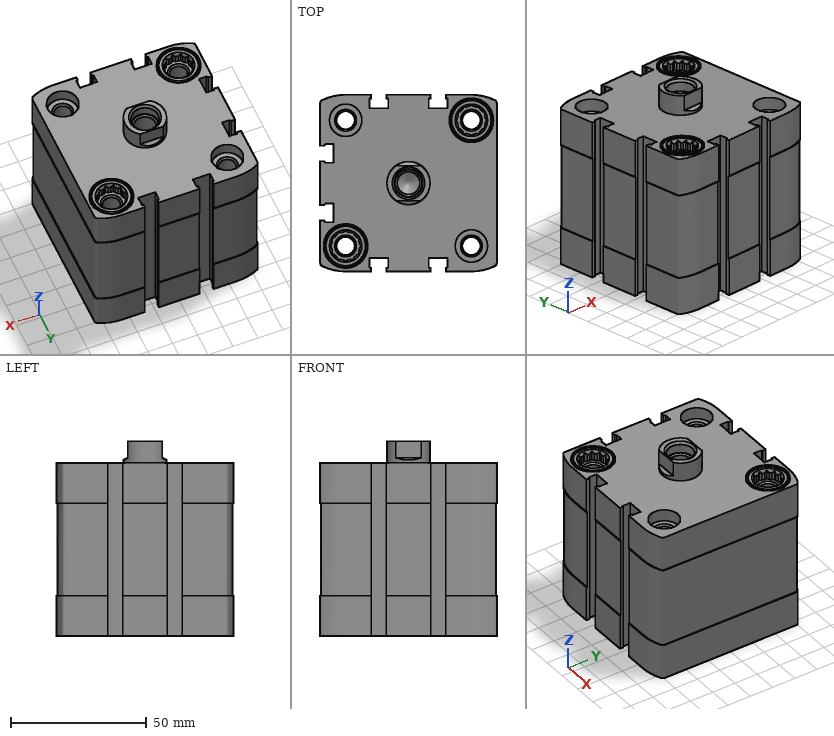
import cadquery as cq
import math

WIDTH = 65.5
TOTAL_HEIGHT = 72.25
ROD_EXPOSED = 8.1
BODY_HEIGHT = TOTAL_HEIGHT - ROD_EXPOSED
HALF_WIDTH = WIDTH / 2

CAP_HEIGHT = 15.0
TUBE_HEIGHT = BODY_HEIGHT - 2 * CAP_HEIGHT
TUBE_INSET = 0.3

ARC_START_X = 23.3
CORNER_ARC_RADIUS = 20.0
CORNER_FILLET_RADIUS = 1.5

SLOT_OFFSET = 11.0
SLOT_NECK_WIDTH = 5.6
SLOT_WIDTH = 6.85
SLOT_DEPTH = 5.0
SLOT_LIP = 1.5
SIDE_LIP_CHAMFER = 0.5

HOLE_OFFSET = 23.3
THROUGH_DIAMETER = 6.65
COUNTERSINK_DIAMETER = 8.0
COUNTERSINK_DEPTH = 0.65
RECESS_DIAMETER = 12.0
RECESS_DEPTH = 5.0

SOCKET_MOUTH_DIAMETER = 12.0
SPLINE_ROOT_DIAMETER = 11.4
SPLINE_TIP_DIAMETER = 10.5
SPLINE_LAND_WIDTH = 1.1
SPLINE_COUNT = 12
SOCKET_DEPTH = 4.5
SOCKET_MOUTH_DEPTH = 1.5
GROOVE_OUTER_DIAMETER = 16.4
GROOVE_INNER_DIAMETER = 15.5
GROOVE_DEPTH = 0.7
GROOVE_EDGE_DIAMETER = 14.6
GROOVE_EDGE_DEPTH = (GROOVE_INNER_DIAMETER - GROOVE_EDGE_DIAMETER) / 2

ROD_DIAMETER = 16.0
ROD_LENGTH = ROD_EXPOSED + CAP_HEIGHT
FLAT_SPACING = 12.9
FLAT_LENGTH = 6.15
FLAT_RUNOUT_ANGLE = 30.0

ROD_MOUTH_DIAMETER = 12.0
ROD_MOUTH_DEPTH = 1.0
ROD_BORE_DIAMETER = 10.5
ROD_BORE_DEPTH = 4.7
ROD_STEP_DIAMETER = 10.0
ROD_STEP_DEPTH = 0.5
ROD_CORE_DIAMETER = 8.4
ROD_CORE_DEPTH = 16.0
DRILL_POINT_ANGLE = 118.0


def cylinder(diameter, top, depth):
    """Upright cylinder that reaches down from the height top."""
    return cq.Workplane("XY", origin=(0, 0, top - depth)).circle(diameter / 2).extrude(depth)


def cone(top_diameter, bottom_diameter, top, depth):
    """Upright cone frustum that reaches down from the height top."""
    solid = cq.Solid.makeCone(bottom_diameter / 2, top_diameter / 2, depth, cq.Vector(0, 0, top - depth))
    return cq.Workplane(solid)


def block(inset, bottom, height):
    """Square block with two-radius corners, all of its sides moved in by the inset."""
    half = HALF_WIDTH - inset
    arc = CORNER_ARC_RADIUS - inset
    fillet = CORNER_FILLET_RADIUS - inset

    arc_y = half - arc
    fillet_x = half - fillet
    fillet_y = arc_y + math.sqrt((arc - fillet) ** 2 - (fillet_x - ARC_START_X) ** 2)
    meet_angle = math.atan2(fillet_y - arc_y, fillet_x - ARC_START_X)

    def on_arc(angle):
        return ARC_START_X + arc * math.cos(angle), arc_y + arc * math.sin(angle)

    def on_fillet(angle):
        return fillet_x + fillet * math.cos(angle), fillet_y + fillet * math.sin(angle)

    quarter = (
        cq.Workplane("XY", origin=(0, 0, bottom))
        .lineTo(0, half)
        .lineTo(ARC_START_X, half)
        .threePointArc(on_arc((meet_angle + math.pi / 2) / 2), on_arc(meet_angle))
        .threePointArc(on_fillet(meet_angle / 2), (half, fillet_y))
        .lineTo(half, 0)
        .close()
        .extrude(height)
    )
    right_half = quarter.union(quarter.mirror("XZ"))
    return right_half.union(right_half.mirror("YZ")).clean()


def slot_pair(lip_chamfer, turn):
    """Two full-height T-slots in the -Y face, turned about Z to another face."""
    neck = SLOT_NECK_WIDTH / 2
    wide = SLOT_WIDTH / 2
    lip_y = SLOT_LIP - HALF_WIDTH
    right = [
        (neck, -HALF_WIDTH),
        (neck, lip_y),
        (wide, lip_y + lip_chamfer),
        (wide, SLOT_DEPTH - HALF_WIDTH),
    ]
    left = [(-x, y) for x, y in reversed(right)]
    slot = cq.Workplane("XY").polyline(right + left).close().extrude(BODY_HEIGHT)
    pair = slot.translate((-SLOT_OFFSET, 0, 0)).union(slot.translate((SLOT_OFFSET, 0, 0)))
    return pair.rotate((0, 0, 0), (0, 0, 1), turn)


def threaded_hole(seat):
    """Through hole that starts with a countersink at the height seat."""
    hole = cylinder(THROUGH_DIAMETER, seat, seat)
    return hole.union(cone(COUNTERSINK_DIAMETER, THROUGH_DIAMETER, seat, COUNTERSINK_DEPTH))


def recessed_hole():
    """Through hole below a plain round recess."""
    return cylinder(RECESS_DIAMETER, BODY_HEIGHT, RECESS_DEPTH).union(
        threaded_hole(BODY_HEIGHT - RECESS_DEPTH)
    )


def splined_hole():
    """Through hole below a socket with twelve V-shaped splines."""
    tip = SPLINE_TIP_DIAMETER / 2
    root = SPLINE_ROOT_DIAMETER / 2
    half_angle = math.pi / SPLINE_COUNT - math.asin(SPLINE_LAND_WIDTH / 2 / tip)
    base = tip * math.cos(half_angle)
    half_width = tip * math.sin(half_angle)
    notch = (
        cq.Workplane("XY", origin=(0, 0, BODY_HEIGHT - SOCKET_DEPTH))
        .polyline([(0, 0), (base, -half_width), (root, 0), (base, half_width)])
        .close()
        .extrude(SOCKET_DEPTH)
    )
    cutter = cylinder(SPLINE_TIP_DIAMETER, BODY_HEIGHT, SOCKET_DEPTH)
    for index in range(SPLINE_COUNT):
        cutter = cutter.union(notch.rotate((0, 0, 0), (0, 0, 1), index * 360 / SPLINE_COUNT))
    mouth = cone(SOCKET_MOUTH_DIAMETER, SPLINE_TIP_DIAMETER, BODY_HEIGHT, SOCKET_MOUTH_DEPTH)
    return cutter.union(mouth).union(threaded_hole(BODY_HEIGHT - SOCKET_DEPTH))


def ring_groove():
    """Thin ring groove whose inner wall is bevelled at the top."""
    core_top = BODY_HEIGHT - GROOVE_EDGE_DEPTH
    core = cylinder(GROOVE_INNER_DIAMETER, core_top, GROOVE_DEPTH - GROOVE_EDGE_DEPTH)
    bevel = cone(GROOVE_EDGE_DIAMETER, GROOVE_INNER_DIAMETER, BODY_HEIGHT, GROOVE_EDGE_DEPTH)
    return cylinder(GROOVE_OUTER_DIAMETER, BODY_HEIGHT, GROOVE_DEPTH).cut(core).cut(bevel)


def make_housing():
    housing = block(0, 0, CAP_HEIGHT)
    housing = housing.union(block(TUBE_INSET, CAP_HEIGHT, TUBE_HEIGHT))
    housing = housing.union(block(0, CAP_HEIGHT + TUBE_HEIGHT, CAP_HEIGHT))

    housing = housing.cut(slot_pair(0, 0)).cut(slot_pair(0, 180)).cut(slot_pair(SIDE_LIP_CHAMFER, -90))

    for side in (-1, 1):
        socket_place = (side * HOLE_OFFSET, side * HOLE_OFFSET, 0)
        recess_place = (side * HOLE_OFFSET, -side * HOLE_OFFSET, 0)
        housing = housing.cut(splined_hole().translate(socket_place))
        housing = housing.cut(ring_groove().translate(socket_place))
        housing = housing.cut(recessed_hole().translate(recess_place))

    return housing.cut(cylinder(ROD_DIAMETER, BODY_HEIGHT, CAP_HEIGHT))


def rod_bore():
    core_radius = ROD_CORE_DIAMETER / 2
    point_depth = core_radius / math.tan(math.radians(DRILL_POINT_ANGLE / 2))
    profile = [
        (0, 0),
        (ROD_MOUTH_DIAMETER / 2, 0),
        (ROD_BORE_DIAMETER / 2, -ROD_MOUTH_DEPTH),
        (ROD_BORE_DIAMETER / 2, -ROD_BORE_DEPTH),
        (ROD_STEP_DIAMETER / 2, -ROD_BORE_DEPTH),
        (core_radius, -ROD_BORE_DEPTH - ROD_STEP_DEPTH),
        (core_radius, -ROD_CORE_DEPTH),
        (0, -ROD_CORE_DEPTH - point_depth),
    ]
    bore = cq.Workplane("XZ").polyline(profile).close().revolve(360, (0, 0), (0, 1))
    return bore.translate((0, 0, TOTAL_HEIGHT))


def wrench_flat():
    """Cutter for the flat on the +Y side, which runs out down a slope."""
    radius = ROD_DIAMETER / 2
    flat_y = FLAT_SPACING / 2
    flat_end = TOTAL_HEIGHT - FLAT_LENGTH
    drop = (radius - flat_y) * math.tan(math.radians(FLAT_RUNOUT_ANGLE))
    profile = [
        (flat_y, TOTAL_HEIGHT),
        (flat_y, flat_end),
        (radius, flat_end - drop),
        (radius, TOTAL_HEIGHT),
    ]
    return cq.Workplane("YZ").polyline(profile).close().extrude(radius, both=True)


def make_rod():
    rod = cylinder(ROD_DIAMETER, TOTAL_HEIGHT, ROD_LENGTH)
    flat = wrench_flat()
    return rod.cut(flat).cut(flat.mirror("XZ")).cut(rod_bore())


housing = make_housing()
rod = make_rod()
result = cq.Compound.makeCompound([*housing.solids().vals(), *rod.solids().vals()])